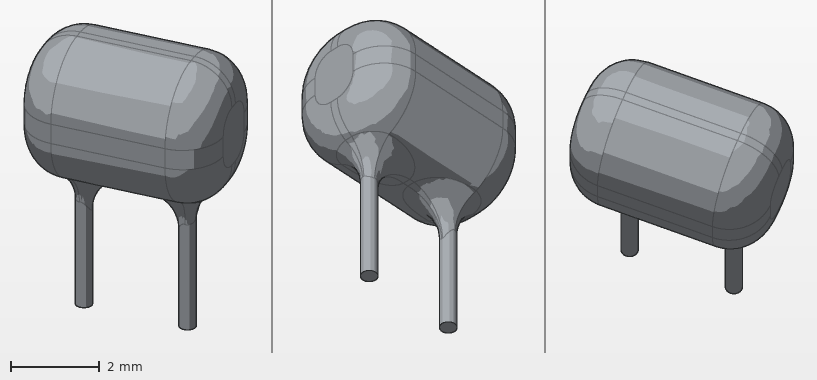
import cadquery as cq

body_length = 4.8
body_depth = 3.2
body_height = 3.5
side_radius = 1.5
end_radius = 1.0

total_height = 7.0
lead_diameter = 0.4
lead_pitch = 2.54
neck_radius = 1.0

lead_length = total_height - body_height
lead_top = body_height / 2
lead_places = (-lead_pitch / 2, lead_pitch / 2)


def make_body():
    """Coated body, centred on X and Y, its underside at Z = 0."""
    bar = cq.Workplane("XY").box(body_length, body_depth, body_height, centered=(True, True, False))
    bar = bar.edges("|X").fillet(side_radius)
    return bar.faces("<X or >X").edges().fillet(end_radius)


def make_leads():
    """Two round straight leads hanging down from inside the body."""
    return (
        cq.Workplane("XY", origin=(0, 0, -lead_length))
        .pushPoints([(x, 0) for x in lead_places])
        .circle(lead_diameter / 2)
        .extrude(lead_length + lead_top)
    )


def lead_joint_edges(part):
    """Edges where the leads meet the underside of the body."""
    reach = lead_diameter
    edges = []
    for x in lead_places:
        joint_box = cq.selectors.BoxSelector(
            (x - reach, -reach, -reach),
            (x + reach, reach, reach),
            boundingbox=True,
        )
        edges += part.edges(joint_box).vals()
    return edges


bare_part = make_body().union(make_leads())
result = bare_part.newObject(lead_joint_edges(bare_part)).fillet(neck_radius)